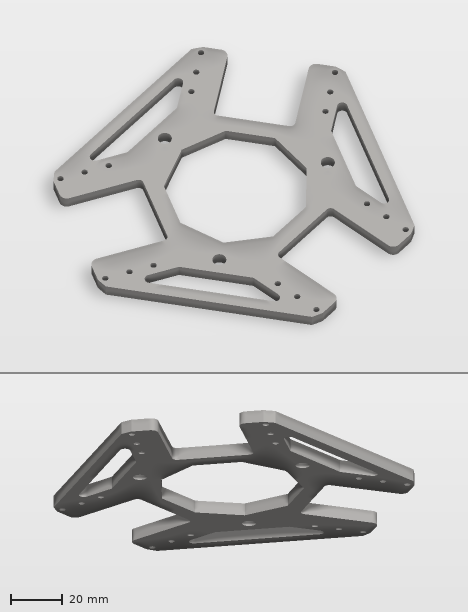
import cadquery as cq
import math

thickness = 5.0
sector_count = 3
sector_step = 360 / sector_count
outer_radius = 72.0
brace_distance = 59.15
arm_end_distance = 67.0

slot_half_width = 16.2
arm_width = 14.5
slot_floor_distance = 34.0
slot_corner_radius = 2.0
arm_tip_radius = 3.0
tip_tolerance = 0.1

brace_width = 5.0
window_outer_distance = brace_distance - brace_width
window_inner_distance = 44.0
window_side_offset = slot_half_width + arm_width
window_corner_radius = 2.0

arm_hole_diameter = 2.5
arm_hole_wall_margin = 10.5
arm_hole_offset = slot_half_width + arm_hole_wall_margin
arm_hole_end_margin = 3.0
arm_hole_pitch = 10.0
arm_hole_count = 3
hub_hole_diameter = 5.5
hub_hole_distance = 37.5
opening_sides = 9
opening_apothem = 27.0
opening_radius = opening_apothem / math.cos(math.pi / opening_sides)


def cut_each_sector(plate, cutter):
    """Cut a feature out of the plate once in each of the three sectors."""
    for sector in range(sector_count):
        plate = plate.cut(cutter.rotate((0, 0, 0), (0, 0, 1), sector * sector_step))
    return plate


def blank_disc():
    """Full disc whose rim forms the outer corners of the arms."""
    return cq.Workplane("XY").circle(outer_radius).extrude(thickness)


def beyond(distance, direction):
    """Block that covers everything farther out than a distance along +Y (1) or -Y (-1)."""
    size = 2 * outer_radius
    center_y = direction * (distance + size / 2)
    return cq.Workplane("XY").center(0, center_y).rect(size, size).extrude(thickness)


def arm_slot():
    """Slot open towards -Y, with rounded inner corners."""
    slot_mid_distance = (slot_floor_distance + outer_radius) / 2
    slot_length = outer_radius - slot_floor_distance
    slot = (
        cq.Workplane("XY")
        .center(0, -slot_mid_distance)
        .rect(2 * slot_half_width, slot_length)
        .extrude(thickness)
    )
    return slot.edges("|Z and >Y").fillet(slot_corner_radius)


def window_half_width(distance):
    """Half width of the +Y window at a distance from the centre.

    The window sides run parallel to the neighbouring arms.
    """
    slant = math.radians(sector_step / 4)
    return (distance * math.cos(slant) - window_side_offset) / math.sin(slant)


def brace_window():
    """Trapezoid behind the +Y brace, rounded at its two sharp outer corners."""
    inner_half = window_half_width(window_inner_distance)
    outer_half = window_half_width(window_outer_distance)
    trapezoid = (
        cq.Workplane("XY")
        .moveTo(-inner_half, window_inner_distance)
        .lineTo(inner_half, window_inner_distance)
        .lineTo(outer_half, window_outer_distance)
        .lineTo(-outer_half, window_outer_distance)
        .close()
        .extrude(thickness)
    )
    return trapezoid.edges("|Z and >Y").fillet(window_corner_radius)


def arm_holes():
    """Rows of holes along both arms of the pair towards -Y."""
    first_distance = arm_end_distance - arm_hole_end_margin
    centers = []
    for index in range(arm_hole_count):
        y = -(first_distance - index * arm_hole_pitch)
        centers.append((-arm_hole_offset, y))
        centers.append((arm_hole_offset, y))
    return cq.Workplane("XY").pushPoints(centers).circle(arm_hole_diameter / 2).extrude(thickness)


def hub_hole():
    """Hole between the +Y window and the central opening."""
    return cq.Workplane("XY").center(0, hub_hole_distance).circle(hub_hole_diameter / 2).extrude(thickness)


def central_opening():
    """Regular polygon with one corner towards +Y."""
    corner_angle = 90
    polygon = cq.Workplane("XY").polygon(opening_sides, 2 * opening_radius).extrude(thickness)
    return polygon.rotate((0, 0, 0), (0, 0, 1), corner_angle)


def round_arm_tips(plate):
    """Round the two tip corners beside the slot in each sector."""
    for _ in range(sector_count):
        tips = cq.selectors.BoxSelector(
            (-slot_half_width - tip_tolerance, -arm_end_distance - tip_tolerance, -tip_tolerance),
            (slot_half_width + tip_tolerance, -arm_end_distance + tip_tolerance, thickness + tip_tolerance),
        )
        plate = plate.edges("|Z").edges(tips).fillet(arm_tip_radius)
        plate = plate.rotate((0, 0, 0), (0, 0, 1), sector_step)
    return plate


plate = blank_disc()
plate = cut_each_sector(plate, beyond(brace_distance, 1))
plate = cut_each_sector(plate, beyond(arm_end_distance, -1))
plate = cut_each_sector(plate, arm_slot())
plate = round_arm_tips(plate)
plate = cut_each_sector(plate, brace_window())
plate = cut_each_sector(plate, arm_holes())
plate = cut_each_sector(plate, hub_hole())
result = plate.cut(central_opening())